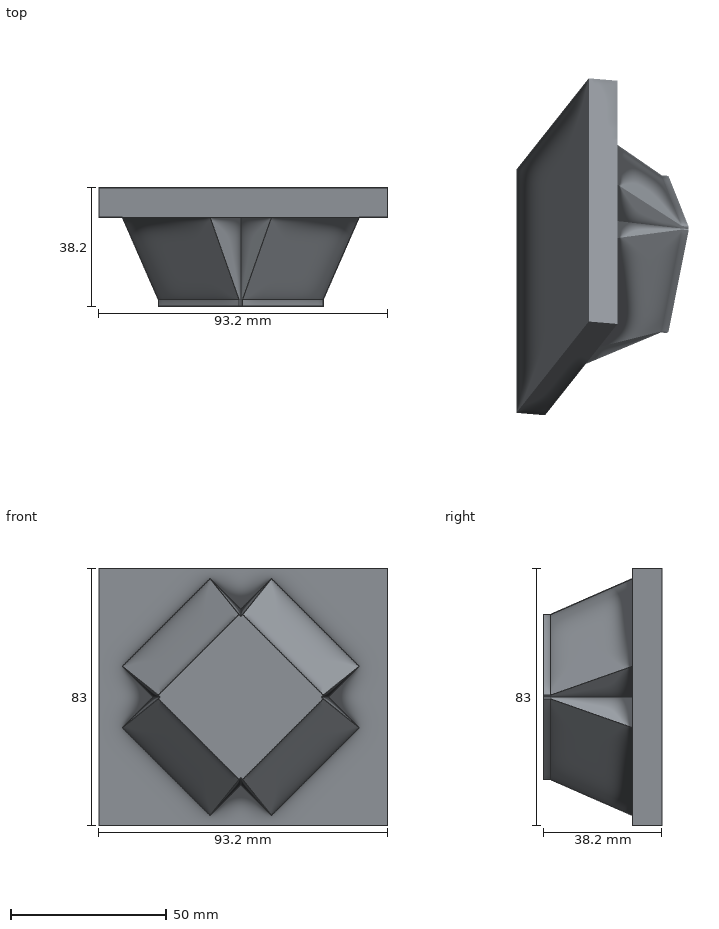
import cadquery as cq

plate_width = 93.2
plate_height = 83.0
plate_thickness = 9.55

total_depth = 38.25
boss_offset_x = -0.8
bar_angles = (45, 135)
bar_root_length = 68.0
bar_root_width = 40.0
bar_tip_length = 38.5
bar_tip_width = 36.8
tip_band = 2.25

taper_depth = total_depth - plate_thickness - tip_band



def make_plate():
    return cq.Workplane("XZ").rect(plate_width, plate_height).extrude(plate_thickness)


def make_bar(angle):
    """One bar: a loft from the plate to the smaller tip section, then a straight band."""
    root = cq.Workplane("XZ", origin=(boss_offset_x, -plate_thickness, 0))
    root = root.transformed(rotate=(0, 0, angle))
    tapered = (
        root.rect(bar_root_length, bar_root_width)
        .workplane(offset=taper_depth)
        .rect(bar_tip_length, bar_tip_width)
        .loft(ruled=True)
    )
    band = (
        root.workplane(offset=taper_depth)
        .rect(bar_tip_length, bar_tip_width)
        .extrude(tip_band)
    )
    return tapered.union(band)


result = make_plate()
for bar_angle in bar_angles:
    result = result.union(make_bar(bar_angle))
result = result.clean()